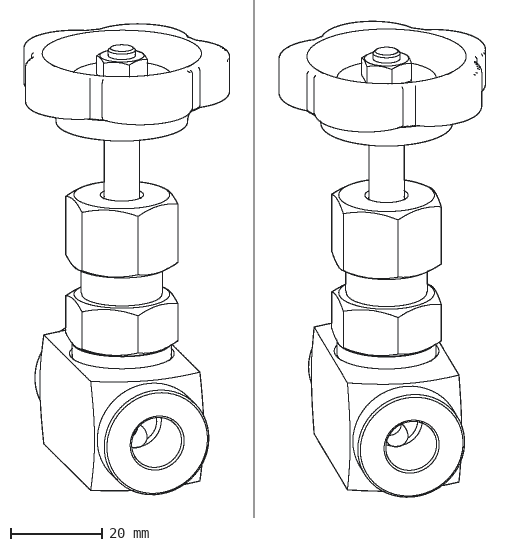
import cadquery as cq
import math

FULL_HEIGHT = 95.2
PORT_LENGTH = 55.0

BODY_SIDE = 25.0
BODY_LENGTH = 43.2
BODY_CORNER_ANGLE = 30.0
AXIS_Z = BODY_SIDE / 2
BOSS_RADIUS = 24.0 / 2
BOSS_CHAMFER = 0.5

PORT_RADIUS = 5.7
PORT_CHAMFER = 0.5
PORT_DEPTH = 16.2
DRILL_RADIUS = 4.7
DRILL_POINT_ANGLE = 118.0
PASSAGE_RADIUS = 5.0 / 2
PASSAGE_DROP = 3.3
PASSAGE_END_X = 3.8

COLLAR_RADIUS = 21.8 / 2
COLLAR_SINK_RADIUS = 23.0 / 2
LOWER_NUT_BOTTOM = 27.6
LOWER_NUT_TOP = 38.6
NECK_RADIUS = 18.0 / 2
NECK_CHAMFER_HEIGHT = 0.7
NECK_CHAMFER_INSET = 0.2
UPPER_NUT_BOTTOM = 45.6
UPPER_NUT_TOP = 61.5
NUT_FLATS = 22.0
NUT_FACE_RADIUS = 21.0 / 2
NUT_CHAMFER_ANGLE = 30.0

STEM_RADIUS = 7.8 / 2
STEM_HOLE_RADIUS = 8.0 / 2
STEM_HOLE_DEPTH = 1.9
STEM_SINK_RADIUS = 4.8
STEM_TIP_RADIUS = 6.0 / 2
STEM_TIP_CHAMFER = 0.5

LOBE_COUNT = 5
LOBE_RADIUS = 11.5
LOBE_OFFSET = 12.2
LOBE_PHASE = 3.0
RIM_CORE_RADIUS = 19.9
RIM_TOP = 93.9
RIM_BOTTOM = 84.3
RIM_FILLET = 0.95
HUB_BOTTOM = 78.2
HUB_RADIUS = 14.5
HUB_FLARE_WIDTH = 5.0
BOWL_RADIUS = 17.5
BOWL_FLOOR_RADIUS = 21.8 / 2
BOWL_FLOOR_Z = 88.9
WHEEL_NUT_FLATS = 10.0
WHEEL_NUT_FACE_RADIUS = 4.9
WHEEL_NUT_TOP = 93.5


def disc(radius, bottom, top):
    """Upright cylinder on the stem axis."""
    return cq.Workplane("XY").workplane(offset=bottom).circle(radius).extrude(top - bottom)


def turned(points):
    """Solid turned about the stem axis from (radius, z) points."""
    return cq.Workplane("XZ").polyline(points).close().revolve(360, (0, 0, 0), (0, 1, 0))


def turned_on_flow_axis(points):
    """Solid turned about the flow axis from (x, radius) points."""
    profile = cq.Workplane("XZ", origin=(0, 0, AXIS_Z)).polyline(points).close()
    return profile.revolve(360, (0, 0, 0), (1, 0, 0))


def hex_nut(flats, face_radius, bottom, top, chamfer_bottom=True):
    """Hexagonal nut with corners on the X axis and conically chamfered faces."""
    corners = flats / math.cos(math.radians(30))
    corner_radius = corners / 2
    drop = (corner_radius - face_radius) * math.tan(math.radians(NUT_CHAMFER_ANGLE))
    prism = cq.Workplane("XY").workplane(offset=bottom).polygon(6, corners).extrude(top - bottom)
    if chamfer_bottom:
        lower_edge = [(face_radius, bottom), (corner_radius, bottom + drop)]
    else:
        lower_edge = [(corner_radius, bottom)]
    upper_edge = [(corner_radius, top - drop), (face_radius, top)]
    return prism.intersect(turned([(0, bottom)] + lower_edge + upper_edge + [(0, top)]))


def valve_body():
    half_length = BODY_LENGTH / 2
    corner_radius = BODY_SIDE / math.sqrt(2)
    setback = (corner_radius - BOSS_RADIUS) * math.tan(math.radians(BODY_CORNER_ANGLE))
    block = cq.Workplane("XY").box(BODY_LENGTH, BODY_SIDE, BODY_SIDE).translate((0, 0, AXIS_Z))
    corner_trim = turned_on_flow_axis([
        (-half_length, 0),
        (-half_length, BOSS_RADIUS),
        (-half_length + setback, corner_radius),
        (half_length - setback, corner_radius),
        (half_length, BOSS_RADIUS),
        (half_length, 0),
    ])
    bosses = cq.Workplane("YZ", origin=(-PORT_LENGTH / 2, 0, AXIS_Z)).circle(BOSS_RADIUS)
    bosses = bosses.extrude(PORT_LENGTH).faces("<X or >X").chamfer(BOSS_CHAMFER)

    sink_depth = COLLAR_SINK_RADIUS - COLLAR_RADIUS
    collar_sink = turned([
        (0, BODY_SIDE - sink_depth),
        (COLLAR_RADIUS, BODY_SIDE - sink_depth),
        (COLLAR_SINK_RADIUS, BODY_SIDE),
        (0, BODY_SIDE),
    ])
    return block.intersect(corner_trim).union(bosses).cut(collar_sink)


def port_cavity():
    """Hollow of the -X port."""
    mouth_x = -PORT_LENGTH / 2
    floor_x = mouth_x + PORT_DEPTH
    point_x = floor_x + DRILL_RADIUS / math.tan(math.radians(DRILL_POINT_ANGLE / 2))
    bore = turned_on_flow_axis([
        (mouth_x, 0),
        (mouth_x, PORT_RADIUS + PORT_CHAMFER),
        (mouth_x + PORT_CHAMFER, PORT_RADIUS),
        (floor_x, PORT_RADIUS),
        (floor_x, DRILL_RADIUS),
        (point_x, 0),
    ])
    passage = cq.Workplane("YZ", origin=(floor_x, 0, AXIS_Z - PASSAGE_DROP)).circle(PASSAGE_RADIUS)
    return bore.union(passage.extrude(-PASSAGE_END_X - floor_x))


def bonnet():
    collar_bottom = BODY_SIDE - (COLLAR_SINK_RADIUS - COLLAR_RADIUS)
    collar = disc(COLLAR_RADIUS, collar_bottom, LOWER_NUT_BOTTOM)
    lower_nut = hex_nut(NUT_FLATS, NUT_FACE_RADIUS, LOWER_NUT_BOTTOM, LOWER_NUT_TOP)
    neck = turned([
        (0, LOWER_NUT_TOP),
        (NECK_RADIUS - NECK_CHAMFER_INSET, LOWER_NUT_TOP),
        (NECK_RADIUS, LOWER_NUT_TOP + NECK_CHAMFER_HEIGHT),
        (NECK_RADIUS, UPPER_NUT_BOTTOM),
        (0, UPPER_NUT_BOTTOM),
    ])
    upper_nut = hex_nut(NUT_FLATS, NUT_FACE_RADIUS, UPPER_NUT_BOTTOM, UPPER_NUT_TOP)

    hole_bottom = UPPER_NUT_TOP - STEM_HOLE_DEPTH
    stem_hole = turned([
        (0, hole_bottom),
        (STEM_HOLE_RADIUS, hole_bottom),
        (STEM_HOLE_RADIUS, UPPER_NUT_TOP - (STEM_SINK_RADIUS - STEM_HOLE_RADIUS)),
        (STEM_SINK_RADIUS, UPPER_NUT_TOP),
        (0, UPPER_NUT_TOP),
    ])
    return collar.union(lower_nut).union(neck).union(upper_nut.cut(stem_hole))


def stem():
    shaft = disc(STEM_RADIUS, UPPER_NUT_TOP - STEM_HOLE_DEPTH, BOWL_FLOOR_Z)
    tip = disc(STEM_TIP_RADIUS, BOWL_FLOOR_Z, FULL_HEIGHT).faces(">Z").chamfer(STEM_TIP_CHAMFER)
    wheel_nut = hex_nut(WHEEL_NUT_FLATS, WHEEL_NUT_FACE_RADIUS, BOWL_FLOOR_Z, WHEEL_NUT_TOP, False)
    return shaft.union(wheel_nut).union(tip)


def rounded_rim_disc(radius):
    """Disc of the rim's thickness with both edges rounded."""
    return disc(radius, RIM_BOTTOM, RIM_TOP).edges("%CIRCLE").fillet(RIM_FILLET)


def handwheel():
    rim = rounded_rim_disc(RIM_CORE_RADIUS)
    lobe = rounded_rim_disc(LOBE_RADIUS).translate((LOBE_OFFSET, 0, 0))
    for i in range(LOBE_COUNT):
        angle = LOBE_PHASE + i * 360 / LOBE_COUNT
        rim = rim.union(lobe.rotate((0, 0, 0), (0, 0, 1), angle))

    flare_height = RIM_BOTTOM - HUB_BOTTOM
    hub = (
        cq.Workplane("XZ")
        .moveTo(0, HUB_BOTTOM)
        .lineTo(HUB_RADIUS, HUB_BOTTOM)
        .radiusArc((HUB_RADIUS + HUB_FLARE_WIDTH, RIM_BOTTOM), flare_height)
        .lineTo(0, RIM_BOTTOM)
        .close()
        .revolve(360, (0, 0, 0), (0, 1, 0))
    )

    bowl = turned([
        (0, BOWL_FLOOR_Z),
        (BOWL_FLOOR_RADIUS, BOWL_FLOOR_Z),
        (BOWL_RADIUS, RIM_TOP),
        (0, RIM_TOP),
    ])
    return rim.union(hub).cut(bowl)


left_port = port_cavity()
right_port = left_port.mirror("YZ")
body = valve_body().union(bonnet()).cut(left_port).cut(right_port)
result = body.union(handwheel()).union(stem())